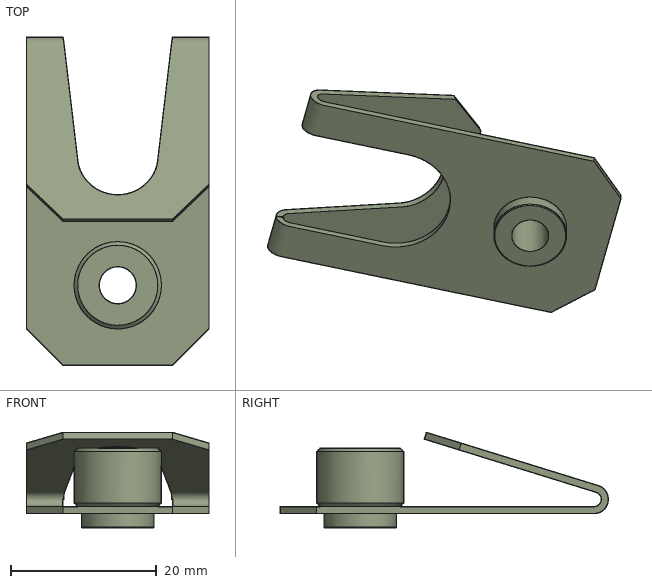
import cadquery as cq
import math

WIDTH = 25.0
LENGTH = 45.0
THICKNESS = 1.0
FRONT_Y = -11.0
CORNER = 5.0
BEND_INNER_RADIUS = 1.0
BEND_OUTER_RADIUS = BEND_INNER_RADIUS + THICKNESS
BEND_Y = FRONT_Y + LENGTH - BEND_OUTER_RADIUS
ARM_ANGLE = 17.2
ARM_LENGTH = 24.65

MOUTH_HALF_WIDTH = 7.5
BASE_SLOT_Y = 19.0
ARM_SLOT_RADIUS = 5.5
ARM_SLOT_CENTRE = 15.65

BODY_RADIUS = 6.0
BODY_HEIGHT = 8.0
SPIGOT_RADIUS = 5.0
SPIGOT_DROP = 2.0
BORE_RADIUS = 2.5
TOP_CHAMFER = 0.5
SHOULDER_CHAMFER = 0.5
SPIGOT_CHAMFER = 0.15

BASE_PLANE = cq.Plane(origin=(0, BEND_Y, 0), xDir=(0, -1, 0), normal=(0, 0, 1))

SLOPE = math.radians(ARM_ANGLE)
ARM_PLANE = cq.Plane(
    origin=(0, BEND_Y, BEND_OUTER_RADIUS),
    xDir=(0, -math.cos(SLOPE), math.sin(SLOPE)),
    normal=(0, math.sin(SLOPE), math.cos(SLOPE)),
)


def trimmed_strip(plane, length, bottom):
    """Flat sheet from local X = 0 to length, with both far corners cut off."""
    half_width = WIDTH / 2
    return (
        cq.Workplane(plane)
        .workplane(offset=bottom)
        .moveTo(0, -half_width)
        .lineTo(length - CORNER, -half_width)
        .lineTo(length, CORNER - half_width)
        .lineTo(length, half_width - CORNER)
        .lineTo(length - CORNER, half_width)
        .lineTo(0, half_width)
        .close()
        .extrude(THICKNESS)
    )


def make_bend():
    """Curved sheet joining the base to the arm."""
    def on_arc(radius, degrees):
        angle = math.radians(degrees)
        return (BEND_Y + radius * math.cos(angle), BEND_OUTER_RADIUS + radius * math.sin(angle))

    start = -90
    end = 90 - ARM_ANGLE
    middle = (start + end) / 2
    return (
        cq.Workplane("YZ")
        .moveTo(*on_arc(BEND_OUTER_RADIUS, start))
        .threePointArc(on_arc(BEND_OUTER_RADIUS, middle), on_arc(BEND_OUTER_RADIUS, end))
        .lineTo(*on_arc(BEND_INNER_RADIUS, end))
        .threePointArc(on_arc(BEND_INNER_RADIUS, middle), on_arc(BEND_INNER_RADIUS, start))
        .close()
        .extrude(WIDTH / 2, both=True)
    )


def make_base_slot():
    """Straight slot with a round end, through the base and the lower half of the bend."""
    back_y = BEND_Y + BEND_OUTER_RADIUS
    return (
        cq.Workplane("XY")
        .moveTo(-MOUTH_HALF_WIDTH, back_y)
        .lineTo(-MOUTH_HALF_WIDTH, BASE_SLOT_Y)
        .threePointArc((0, BASE_SLOT_Y - MOUTH_HALF_WIDTH), (MOUTH_HALF_WIDTH, BASE_SLOT_Y))
        .lineTo(MOUTH_HALF_WIDTH, back_y)
        .close()
        .extrude(BEND_OUTER_RADIUS)
    )


def make_arm_slot():
    """Tapered slot whose sides run tangent into its round end, cut square to the arm."""
    mouth = -BEND_OUTER_RADIUS
    reach = ARM_SLOT_CENTRE - mouth
    to_corner = math.hypot(reach, MOUTH_HALF_WIDTH)
    tangent_angle = math.atan2(MOUTH_HALF_WIDTH, reach) + math.acos(ARM_SLOT_RADIUS / to_corner)
    tangent_x = ARM_SLOT_CENTRE - ARM_SLOT_RADIUS * math.cos(tangent_angle)
    tangent_y = ARM_SLOT_RADIUS * math.sin(tangent_angle)
    return (
        cq.Workplane(ARM_PLANE)
        .moveTo(mouth, -MOUTH_HALF_WIDTH)
        .lineTo(tangent_x, -tangent_y)
        .threePointArc((ARM_SLOT_CENTRE + ARM_SLOT_RADIUS, 0), (tangent_x, tangent_y))
        .lineTo(mouth, MOUTH_HALF_WIDTH)
        .close()
        .extrude(BEND_OUTER_RADIUS)
    )


def make_clip():
    """Base, bend and arm in one sheet, with the slots and the seat for the bushing."""
    base = trimmed_strip(BASE_PLANE, BEND_Y - FRONT_Y, 0)
    arm = trimmed_strip(ARM_PLANE, ARM_LENGTH, BEND_INNER_RADIUS)
    seat = cq.Workplane("XY").circle(SPIGOT_RADIUS).extrude(THICKNESS)
    return (
        base.union(make_bend())
        .union(arm)
        .cut(make_base_slot())
        .cut(make_arm_slot())
        .cut(seat)
    )


def make_bushing():
    """Turned bushing: chamfered body resting on the sheet, spigot through it, full bore."""
    bottom = -SPIGOT_DROP
    top = THICKNESS + BODY_HEIGHT
    return (
        cq.Workplane("XZ")
        .moveTo(BORE_RADIUS, bottom)
        .lineTo(SPIGOT_RADIUS - SPIGOT_CHAMFER, bottom)
        .lineTo(SPIGOT_RADIUS, bottom + SPIGOT_CHAMFER)
        .lineTo(SPIGOT_RADIUS, THICKNESS)
        .lineTo(BODY_RADIUS - SHOULDER_CHAMFER, THICKNESS)
        .lineTo(BODY_RADIUS, THICKNESS + SHOULDER_CHAMFER)
        .lineTo(BODY_RADIUS, top - TOP_CHAMFER)
        .lineTo(BODY_RADIUS - TOP_CHAMFER, top)
        .lineTo(BORE_RADIUS, top)
        .close()
        .revolve(360, (0, 0, 0), (0, 1, 0))
    )


clip = make_clip()
bushing = make_bushing()
result = cq.Compound.makeCompound([clip.val(), bushing.val()])